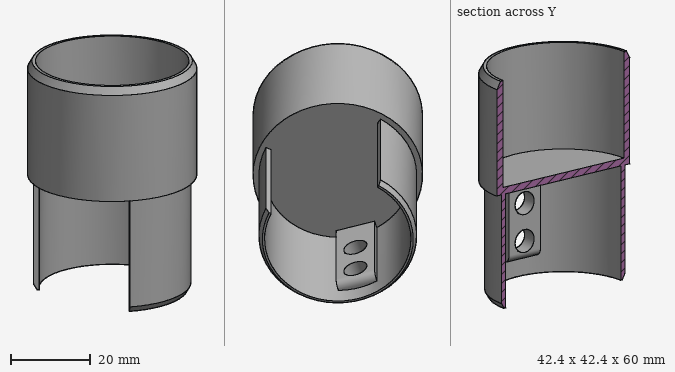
import cadquery as cq
import math

total_height = 60.0
shoulder_height = total_height / 2

cup_radius = 42.4 / 2
cup_bore_radius = 19.2
floor_thickness = 2.0
cup_chamfer_height = 2.0

sleeve_radius = 19.75
sleeve_bore_radius = 18.3
sleeve_chamfer_height = 1.5
opening_angle = 98.4

chamfer_slope = math.tan(math.radians(30))

pad_width = 10.0
pad_bottom = 5.0
pad_round = 2.0
hole_diameter = 6.0
hole_heights = (10.0, 20.0)

pad_face_y = math.sqrt(sleeve_bore_radius**2 - (pad_width / 2) ** 2) - pad_round


def make_cup():
    """Open-topped cup with a chamfered rim and a closed floor."""
    rim_radius = cup_radius - cup_chamfer_height * chamfer_slope
    floor_top = shoulder_height + floor_thickness
    return (
        cq.Workplane("XZ")
        .moveTo(0, shoulder_height)
        .lineTo(cup_radius, shoulder_height)
        .lineTo(cup_radius, total_height - cup_chamfer_height)
        .lineTo(rim_radius, total_height)
        .lineTo(cup_bore_radius, total_height)
        .lineTo(cup_bore_radius, floor_top)
        .lineTo(0, floor_top)
        .close()
        .revolve(360, (0, 0), (0, 1))
    )


def make_sleeve():
    """Thin sleeve, chamfered at its lower end, with a radial-sided opening facing -Y."""
    end_radius = sleeve_radius - sleeve_chamfer_height * chamfer_slope
    sleeve = (
        cq.Workplane("XZ")
        .moveTo(sleeve_bore_radius, 0)
        .lineTo(end_radius, 0)
        .lineTo(sleeve_radius, sleeve_chamfer_height)
        .lineTo(sleeve_radius, shoulder_height)
        .lineTo(sleeve_bore_radius, shoulder_height)
        .close()
        .revolve(360, (0, 0), (0, 1))
    )
    wedge_depth = 2 * sleeve_radius
    wedge_half_width = wedge_depth * math.tan(math.radians(opening_angle / 2))
    wedge = (
        cq.Workplane("XY")
        .moveTo(0, 0)
        .lineTo(-wedge_half_width, -wedge_depth)
        .lineTo(wedge_half_width, -wedge_depth)
        .close()
        .extrude(shoulder_height)
    )
    return sleeve.cut(wedge)


def make_pad():
    """Flat-faced pad with a rounded lower edge, bounded by the sleeve wall."""
    pad_height = shoulder_height - pad_bottom
    block = (
        cq.Workplane("XY")
        .box(pad_width, sleeve_radius - pad_face_y, pad_height, centered=(True, False, False))
        .translate((0, pad_face_y, pad_bottom))
        .faces("<Y")
        .edges("<Z")
        .fillet(pad_round)
    )
    mid_wall_radius = (sleeve_radius + sleeve_bore_radius) / 2
    envelope = cq.Workplane("XY").circle(mid_wall_radius).extrude(shoulder_height)
    return block.intersect(envelope)


def make_holes():
    """Two round holes through the pad and the sleeve wall, along Y."""
    return (
        cq.Workplane("XZ")
        .pushPoints([(0, height) for height in hole_heights])
        .circle(hole_diameter / 2)
        .extrude(-cup_radius)
    )


result = make_cup().union(make_sleeve()).union(make_pad()).cut(make_holes())